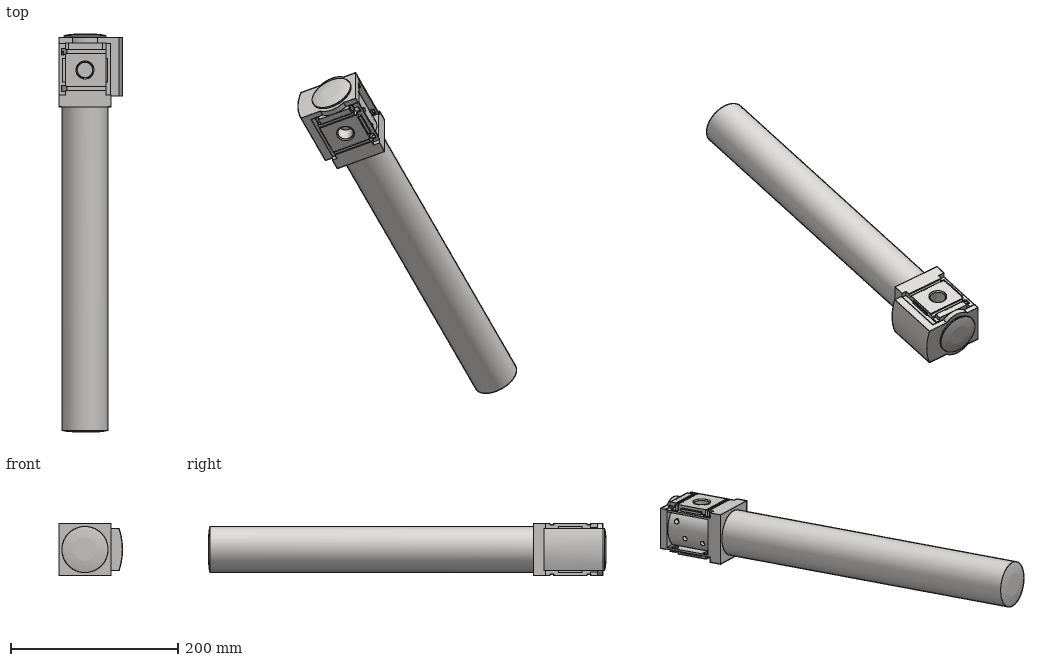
import cadquery as cq
import math

OVERALL_LENGTH = 475.0
OVERALL_WIDTH = 76.0
HOUSING_WIDTH = 62.0
HOUSING_LENGTH = 83.0
HALF_WIDTH = HOUSING_WIDTH / 2
EPS = 0.5

DOME_FLAT_SHARE = 0.5

TUBE_RADIUS = 55.0 / 2
TUBE_DOME_HEIGHT = 2.0

CAP_HEIGHT = 4.0
CAP_DOME_HEIGHT = CAP_HEIGHT / 2
CAP_RADIUS = 25.0
TUBE_LENGTH = OVERALL_LENGTH - HOUSING_LENGTH - CAP_HEIGHT

CORE_HALF_HEIGHT = 24.5
REAR_HALF_HEIGHT = 25.0
FLANGE_LENGTH = 14.2
REAR_PLATE_LENGTH = 7.0
REAR_PLATE_START = HOUSING_LENGTH - REAR_PLATE_LENGTH
REAR_HUMP_HALF_WIDTH = 15.0

PAD_LEFT = -23.5
PAD_RIGHT = 25.0
REAR_BAR_LEFT = -19.5
REAR_BAR_RIGHT = 21.0
REAR_STEP_HEIGHT = 2.0
GROOVE_WIDTH = 4.5
GROOVE_DEPTH = 1.5
FRONT_GROOVE_START = 20.0
REAR_GROOVE_START = 64.0
PAD_END = REAR_GROOVE_START + GROOVE_WIDTH

LEDGE_LEFT = -26.5
LEDGE_RIGHT = 26.5
LEDGE_HEIGHT = 3.0
LEDGE_START = 30.0
LEDGE_END = 58.0
POCKET_LEFT = -28.0
POCKET_RIGHT = -21.5
POCKET_LENGTH = 7.5
POCKET_CORNER = 2.5

PORT_RADIUS = 18.5 / 2
PORT_CHAMFER = 1.5
PORT_Y = 44.0
PORT_DEPTH = 19.0

WINDOW_START = 17.5
WINDOW_END = 74.0
WINDOW_HEIGHT = 44.5
INNER_RADIUS = 29.0
SIDE_HOLE_RADIUS = 5.5 / 2
SIDE_HOLE_DEPTH = 7.0
SIDE_HOLES_YZ = [(63.0, 11.0), (51.5, -8.5), (27.5, -11.0)]

COVER_START = 13.0
COVER_EDGE_X = 41.0
COVER_CROWN_X = OVERALL_WIDTH - HALF_WIDTH


def box(x0, x1, y0, y1, z0, z1):
    """Axis-aligned box between two opposite corners."""
    return cq.Workplane("XY").box(x1 - x0, y1 - y0, z1 - z0, centered=False).translate((x0, y0, z0))


def along_y(y_start):
    """Work plane with X and Z as its axes; a negative extrusion runs toward +Y."""
    return cq.Workplane("XZ", origin=(0, y_start, 0))


def domed_cylinder(radius, y_start, y_tip, dome_height):
    """Cylinder along Y whose end at y_tip is domed around a central flat."""
    direction = math.copysign(1, y_tip - y_start)
    flat_radius = radius * DOME_FLAT_SHARE
    run = radius - flat_radius
    dome_radius = (run**2 + dome_height**2) / (2 * dome_height)
    mid_drop = dome_radius - math.sqrt(dome_radius**2 - (run / 2) ** 2)
    rim_y = y_tip - direction * dome_height
    return (
        cq.Workplane("XY")
        .moveTo(0, y_start)
        .lineTo(0, y_tip)
        .lineTo(flat_radius, y_tip)
        .threePointArc((flat_radius + run / 2, y_tip - direction * mid_drop), (radius, rim_y))
        .lineTo(radius, y_start)
        .close()
        .revolve(360, (0, 0, 0), (0, 1, 0))
    )


def make_core():
    """Square front flange, the lower core behind it and the rear plate."""
    flange = box(-HALF_WIDTH, HALF_WIDTH, 0, FLANGE_LENGTH, -HALF_WIDTH, HALF_WIDTH)
    core = box(-HALF_WIDTH, HALF_WIDTH, 0, HOUSING_LENGTH, -CORE_HALF_HEIGHT, CORE_HALF_HEIGHT)
    rear_plate = box(
        -HALF_WIDTH, HALF_WIDTH, REAR_PLATE_START, HOUSING_LENGTH, -REAR_HALF_HEIGHT, REAR_HALF_HEIGHT
    )
    return flange.union(core).union(rear_plate)


def make_port_face():
    """Everything that rises above the upper face of the core."""
    base = CORE_HALF_HEIGHT - EPS
    pad = box(PAD_LEFT, PAD_RIGHT, FLANGE_LENGTH - EPS, PAD_END, base, HALF_WIDTH)
    rear_bar = box(REAR_BAR_LEFT, REAR_BAR_RIGHT, PAD_END - EPS, REAR_PLATE_START + EPS, base, HALF_WIDTH)
    ledge_top = CORE_HALF_HEIGHT + LEDGE_HEIGHT
    rear_step_top = CORE_HALF_HEIGHT + REAR_STEP_HEIGHT
    rear_step = box(PAD_LEFT, PAD_RIGHT, PAD_END - EPS, REAR_PLATE_START + EPS, base, rear_step_top)
    ledges = box(LEDGE_LEFT, LEDGE_RIGHT, LEDGE_START, LEDGE_END, base, ledge_top)
    hump = (
        along_y(REAR_PLATE_START)
        .moveTo(-REAR_HUMP_HALF_WIDTH, base)
        .lineTo(-REAR_HUMP_HALF_WIDTH, REAR_HALF_HEIGHT)
        .threePointArc((0, HALF_WIDTH), (REAR_HUMP_HALF_WIDTH, REAR_HALF_HEIGHT))
        .lineTo(REAR_HUMP_HALF_WIDTH, base)
        .close()
        .extrude(-REAR_PLATE_LENGTH)
    )
    return pad.union(rear_bar).union(rear_step).union(ledges).union(hump)


def make_groove(y_start):
    """Cutter for a straight groove running across the port face along X."""
    floor = HALF_WIDTH - GROOVE_DEPTH
    return box(-HALF_WIDTH, HALF_WIDTH, y_start, y_start + GROOVE_WIDTH, floor, HALF_WIDTH + EPS)


def make_latch_pocket(y_center):
    """Pocket with trimmed inner corners at the left end of a groove, open into the side window."""
    floor = WINDOW_HEIGHT / 2 - EPS
    y0 = y_center - POCKET_LENGTH / 2
    y1 = y_center + POCKET_LENGTH / 2
    return (
        box(POCKET_LEFT, POCKET_RIGHT, y0, y1, floor, HALF_WIDTH + EPS)
        .edges("|Z and >X")
        .chamfer(POCKET_CORNER)
    )


def make_port():
    """Blind port cutter with a chamfered mouth."""
    mouth_radius = PORT_RADIUS + PORT_CHAMFER
    outline = [
        (0, HALF_WIDTH),
        (mouth_radius, HALF_WIDTH),
        (PORT_RADIUS, HALF_WIDTH - PORT_CHAMFER),
        (PORT_RADIUS, HALF_WIDTH - PORT_DEPTH),
        (0, HALF_WIDTH - PORT_DEPTH),
    ]
    profile = cq.Workplane("XZ", origin=(0, PORT_Y, 0)).polyline(outline).close()
    return profile.revolve(360, (0, 0, 0), (0, 1, 0))


def make_window():
    """Side window cutter that leaves the inner cylinder standing."""
    half_height = WINDOW_HEIGHT / 2
    opening = box(-HALF_WIDTH, 0, WINDOW_START, WINDOW_END, -half_height, half_height)
    inner = along_y(WINDOW_START).circle(INNER_RADIUS).extrude(WINDOW_START - WINDOW_END)
    return opening.cut(inner)


def make_side_hole(y, z):
    """Blind hole cutter entering the inner cylinder along X."""
    surface_x = -math.sqrt(INNER_RADIUS**2 - z**2)
    length = HALF_WIDTH + surface_x + SIDE_HOLE_DEPTH
    return cq.Workplane("YZ", origin=(-HALF_WIDTH, y, z)).circle(SIDE_HOLE_RADIUS).extrude(length)


def make_cover():
    """Cover on the right side with a bulging outer face."""
    return (
        along_y(COVER_START)
        .moveTo(HALF_WIDTH - EPS, -REAR_HALF_HEIGHT)
        .lineTo(COVER_EDGE_X, -REAR_HALF_HEIGHT)
        .threePointArc((COVER_CROWN_X, 0), (COVER_EDGE_X, REAR_HALF_HEIGHT))
        .lineTo(HALF_WIDTH - EPS, REAR_HALF_HEIGHT)
        .close()
        .extrude(COVER_START - HOUSING_LENGTH)
    )


port_face = make_port_face()
port_cutters = make_port()
for groove_start in (FRONT_GROOVE_START, REAR_GROOVE_START):
    port_cutters = port_cutters.union(make_groove(groove_start))
    port_cutters = port_cutters.union(make_latch_pocket(groove_start + GROOVE_WIDTH / 2))

housing = make_core().union(port_face).union(port_face.mirror("XY"))
housing = housing.cut(port_cutters).cut(port_cutters.mirror("XY"))
housing = housing.cut(make_window())
for hole_y, hole_z in SIDE_HOLES_YZ:
    housing = housing.cut(make_side_hole(hole_y, hole_z))

cap_tip = HOUSING_LENGTH + CAP_HEIGHT
cap = domed_cylinder(CAP_RADIUS, HOUSING_LENGTH - EPS, cap_tip, CAP_DOME_HEIGHT)
tube = domed_cylinder(TUBE_RADIUS, EPS, -TUBE_LENGTH, TUBE_DOME_HEIGHT)

result = housing.union(make_cover()).union(cap).union(tube)